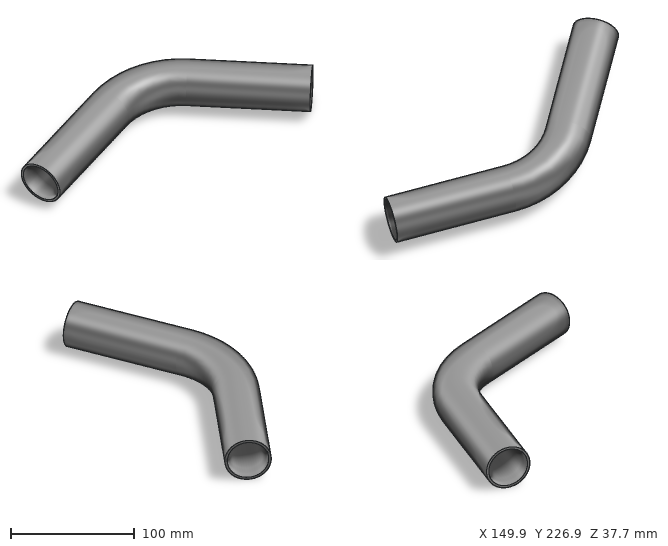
import cadquery as cq
import math

outer_diameter = 37.7
wall = 2.0
leg_length = 100.0
bend_radius = 70.0
bend_angle = 60.0


def bend_point(angle):
    """Point on the bend centreline after turning by the given angle in degrees."""
    turn = math.radians(angle)
    return (
        bend_radius * (1 - math.cos(turn)),
        leg_length + bend_radius * math.sin(turn),
    )


bend_end = bend_point(bend_angle)
end_turn = math.radians(bend_angle)
tube_end = (
    bend_end[0] + leg_length * math.sin(end_turn),
    bend_end[1] + leg_length * math.cos(end_turn),
)
centreline = (
    cq.Workplane("XY")
    .lineTo(0, leg_length)
    .threePointArc(bend_point(bend_angle / 2), bend_end)
    .lineTo(*tube_end)
)

outer_radius = outer_diameter / 2
result = (
    cq.Workplane("XZ")
    .circle(outer_radius)
    .circle(outer_radius - wall)
    .sweep(centreline)
)